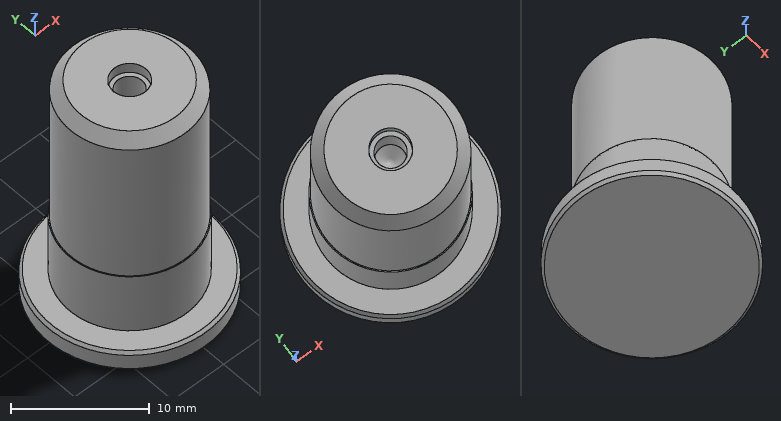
import cadquery as cq
import math

total_height = 23.0
flange_thickness = 2.0
shoulder_height = 8.0

flange_diameter = 16.0
shoulder_diameter = 11.78
body_diameter = 11.6

flange_chamfer = 0.25
tip_chamfer = 1.0

counterbore_diameter = 3.15
counterbore_depth = 1.0
hole_diameter = 2.4
hole_depth = 4.0
drill_point_angle = 118.0


def make_flange():
    return (
        cq.Workplane("XY")
        .circle(flange_diameter / 2)
        .extrude(flange_thickness)
        .edges()
        .chamfer(flange_chamfer)
    )


def make_shank():
    shoulder = cq.Workplane("XY").circle(shoulder_diameter / 2).extrude(shoulder_height)
    body = (
        cq.Workplane("XY")
        .circle(body_diameter / 2)
        .extrude(total_height)
        .faces(">Z")
        .edges()
        .chamfer(tip_chamfer)
    )
    return shoulder.union(body)


def make_hole_cutter():
    """Revolved counterbore and drilled hole with a conical bottom."""
    hole_radius = hole_diameter / 2
    counterbore_radius = counterbore_diameter / 2
    counterbore_floor = total_height - counterbore_depth
    hole_bottom = total_height - hole_depth
    cone_depth = hole_radius / math.tan(math.radians(drill_point_angle / 2))
    return (
        cq.Workplane("XZ")
        .moveTo(0, total_height)
        .lineTo(counterbore_radius, total_height)
        .lineTo(counterbore_radius, counterbore_floor)
        .lineTo(hole_radius, counterbore_floor)
        .lineTo(hole_radius, hole_bottom)
        .lineTo(0, hole_bottom - cone_depth)
        .close()
        .revolve(360, (0, 0, 0), (0, 1, 0))
    )


result = make_flange().union(make_shank()).cut(make_hole_cutter())